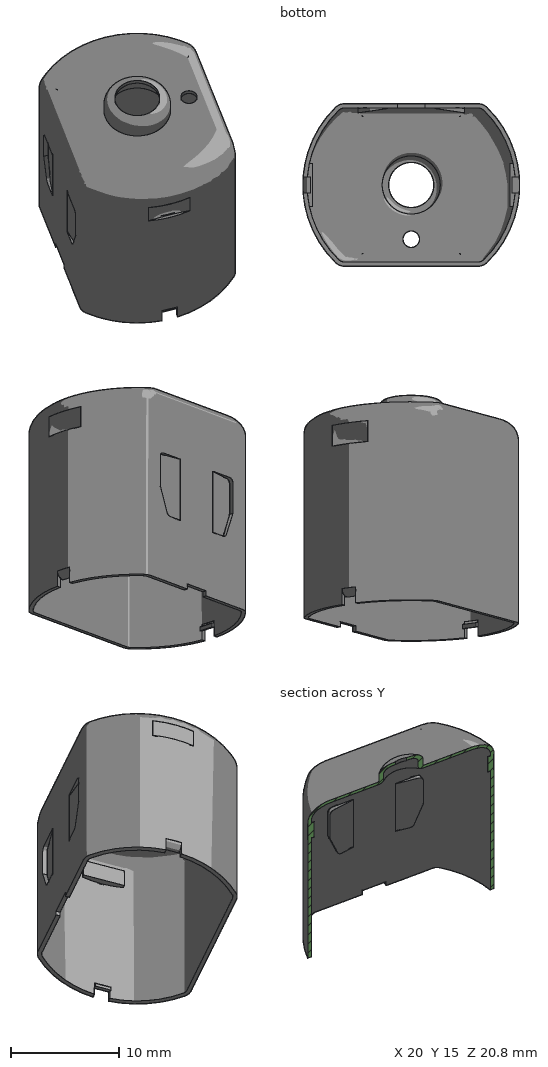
import cadquery as cq
import math

body_radius = 10.0
body_half_depth = 7.5
body_height = 19.0
wall = 0.4

crown_width = 2.28
crown_height = 1.67
flat_edge_radius = 1.2
corner_radius = 1.2

button_radius = 3.08
button_top = 20.75
button_edge_radius = 1.0
button_hole_radius = 2.07
mouth_radius = 0.99 * wall

vent_radius = 0.75
vent_y = 5.0

tab_inner_x = 2.2
tab_outer_x = 4.9
tab_bottom_x = 3.9
tab_bottom_z = 6.5
tab_bend_z = 9.1
tab_top_z = 12.5
tab_corner_radius = 0.45
tab_shallow_depth = 0.05
tab_deep_depth = 0.45

detent_half_width = 2.0
detent_bottom_z = 15.05
detent_top_z = 17.0
detent_rim_depth = 0.02
detent_deepest = 0.5
detent_crest = (
    (detent_bottom_z, 0.3),
    (15.6, detent_deepest),
    (16.2, 0.25),
    (16.6, 0.11),
    (detent_top_z, detent_rim_depth),
)

side_notch_width = 1.5
side_notch_height = 1.5
fold_outer_radius = 0.7

front_notch_width = 2.5
front_notch_height = 0.5


def domed_body(inset):
    """Solid body with every outer surface moved inwards by inset."""
    radius = body_radius - inset
    top = body_height - inset
    revolved = (
        cq.Workplane("XZ")
        .lineTo(radius, 0)
        .lineTo(radius, body_height - crown_height)
        .ellipseArc(crown_width - inset, crown_height - inset, 0, 90, startAtCurrent=True)
        .lineTo(0, top)
        .close()
        .revolve(360, (0, 0, 0), (0, 1, 0))
    )
    slab = (
        cq.Workplane("XY")
        .rect(3 * body_radius, 2 * (body_half_depth - inset))
        .extrude(top)
        .edges(">Z and |X")
        .fillet(flat_edge_radius - inset)
    )
    return revolved.intersect(slab).edges("|Z").fillet(corner_radius - inset)


def button(inset, base_z):
    """Rounded cylinder standing on the roof, moved inwards by inset."""
    top = button_top - inset
    return (
        cq.Workplane("XY", origin=(0, 0, base_z))
        .circle(button_radius - inset)
        .extrude(top - base_z)
        .faces(">Z")
        .edges()
        .fillet(button_edge_radius - inset)
    )


def can():
    """Hollow can with its button and the two roof openings."""
    ceiling = body_height - wall
    outside = domed_body(0).union(button(0, ceiling))
    inside = domed_body(wall).union(button(wall, ceiling - wall))
    mouth = cq.selectors.BoxSelector(
        (-button_radius, -button_radius, ceiling - wall / 2),
        (button_radius, button_radius, ceiling + wall / 2),
        boundingbox=True,
    )
    inside = inside.edges(mouth).fillet(mouth_radius)
    roof = cq.Workplane("XY", origin=(0, 0, ceiling - wall))
    through = button_top - ceiling + 2 * wall
    button_hole = roof.circle(button_hole_radius).extrude(through)
    vent = roof.center(0, vent_y).circle(vent_radius).extrude(through)
    return outside.cut(inside).cut(button_hole).cut(vent)


def tab_wedge(side, offset):
    """Wedge from the front face back to the tab's sloping face, moved inwards by offset."""
    front_y = -body_half_depth
    outline = (
        cq.Workplane("XZ", origin=(0, front_y, 0))
        .moveTo(side * tab_inner_x, tab_bottom_z)
        .lineTo(side * tab_bottom_x, tab_bottom_z)
        .lineTo(side * tab_outer_x, tab_bend_z)
        .lineTo(side * tab_outer_x, tab_top_z)
        .lineTo(side * tab_inner_x, tab_top_z)
        .close()
        .extrude(-(tab_deep_depth + offset))
    )
    mid_y = front_y + (tab_deep_depth + offset) / 2
    for corner in ((side * tab_bottom_x, mid_y, tab_bottom_z), (side * tab_outer_x, mid_y, tab_top_z)):
        edge = cq.selectors.NearestToPointSelector(corner)
        outline = outline.edges("|Y").edges(edge).fillet(tab_corner_radius)
    slope = (
        cq.Workplane("XY")
        .moveTo(side * tab_inner_x, front_y)
        .lineTo(side * tab_inner_x, front_y + tab_shallow_depth + offset)
        .lineTo(side * tab_outer_x, front_y + tab_deep_depth + offset)
        .lineTo(side * tab_outer_x, front_y)
        .close()
        .extrude(body_height)
    )
    return outline.intersect(slope)


def detent_dish():
    """Cutter whose inner side is the dished face pressed into the -X round side."""
    rim_radius = body_radius - detent_rim_depth
    rim_x = -math.sqrt(rim_radius**2 - detent_half_width**2)
    outer_x = -(body_radius + wall)
    sections = [
        cq.Workplane("XY", origin=(0, 0, z))
        .moveTo(rim_x, -detent_half_width)
        .threePointArc((depth - body_radius, 0), (rim_x, detent_half_width))
        .lineTo(outer_x, detent_half_width)
        .lineTo(outer_x, -detent_half_width)
        .close()
        .val()
        for z, depth in detent_crest
    ]
    return cq.Workplane(cq.Solid.makeLoft(sections))


def detent_backing():
    """Wall thickening inside the can that keeps metal behind the dish."""
    start_x = -(body_radius - wall / 2)
    return cq.Workplane("XY", origin=(start_x, 0, detent_bottom_z)).box(
        wall / 2 + detent_deepest,
        2 * detent_half_width,
        detent_top_z - detent_bottom_z,
        centered=(False, True, False),
    )


def side_notch():
    """Bar across the whole can that opens the foot of both round sides."""
    return cq.Workplane("XY").box(
        3 * body_radius, side_notch_width, side_notch_height, centered=(True, True, False)
    )


def folded_strip():
    """Quarter-round bend turning the strip above the -X notch inwards."""
    start_x = -math.sqrt(body_radius**2 - (side_notch_width / 2) ** 2)
    inner_radius = fold_outer_radius - wall
    centre_x = start_x + fold_outer_radius

    def point(radius, bend):
        angle = math.radians(bend)
        return (centre_x - radius * math.cos(angle), side_notch_height - radius * math.sin(angle))

    return (
        cq.Workplane("XZ", origin=(0, side_notch_width / 2, 0))
        .moveTo(start_x, side_notch_height)
        .threePointArc(point(fold_outer_radius, 45), point(fold_outer_radius, 90))
        .lineTo(*point(inner_radius, 90))
        .threePointArc(point(inner_radius, 45), point(inner_radius, 0))
        .close()
        .extrude(side_notch_width)
    )


def front_notch():
    """Small block that opens the foot of the front flat side only."""
    return cq.Workplane("XY", origin=(0, -body_half_depth, 0)).box(
        front_notch_width, 4 * wall, front_notch_height, centered=(True, True, False)
    )


def both_ends(shape):
    """The shape at -X together with its mirror image at +X."""
    return shape.union(shape.mirror("YZ"))


result = can().cut(side_notch()).cut(front_notch())
result = result.union(both_ends(folded_strip()))
for side in (-1, 1):
    result = result.union(tab_wedge(side, wall)).cut(tab_wedge(side, 0))
result = result.union(both_ends(detent_backing())).cut(both_ends(detent_dish()))